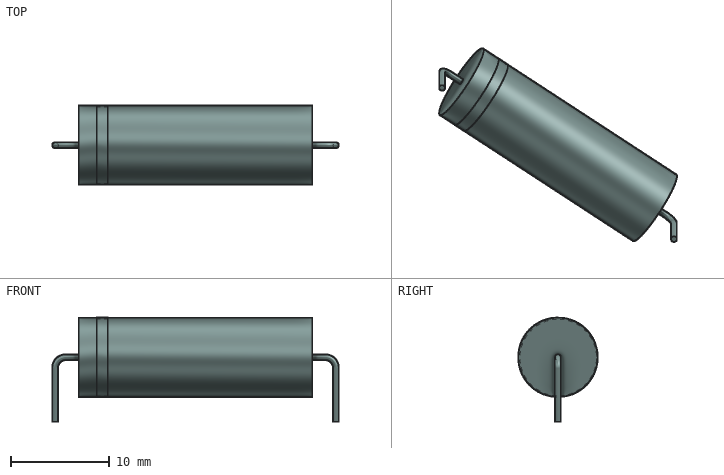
import cadquery as cq

overall_length = 29.2
overall_height = 10.63
body_length = 23.84
band_diameter = 8.12
band_offset = 1.85
band_width = 1.15
band_rise = 0.01
groove_depth = 0.15
wire_diameter = 0.6
bend_radius = 1.05

body_end = body_length / 2
band_start = band_offset - body_end
body_diameter = band_diameter - 2 * band_rise
groove_diameter = body_diameter - 2 * groove_depth
lead_x = (overall_length - wire_diameter) / 2
lead_bottom = band_diameter / 2 - overall_height


def make_band():
    """Polarity ring that sits in the groove and stands slightly proud of the body."""
    return (
        cq.Workplane("YZ", origin=(band_start, 0, 0))
        .circle(band_diameter / 2)
        .circle(groove_diameter / 2)
        .extrude(band_width)
    )


def make_body(band):
    """Cylindrical body with a groove that fits the band."""
    cylinder = cq.Workplane("YZ", origin=(-body_end, 0, 0)).circle(body_diameter / 2).extrude(body_length)
    return cylinder.cut(band)


def make_lead(side):
    """Round wire from one end of the body, bent down; side is -1 or +1 along X."""
    bend_start = lead_x - bend_radius
    path = (
        cq.Workplane("XZ")
        .moveTo(side * body_end, 0)
        .lineTo(side * bend_start, 0)
        .tangentArcPoint((side * lead_x, -bend_radius), relative=False)
        .lineTo(side * lead_x, lead_bottom)
    )
    return cq.Workplane("YZ", origin=(side * body_end, 0, 0)).circle(wire_diameter / 2).sweep(path)


band = make_band()
body = make_body(band)
leads = [make_lead(side) for side in (-1, 1)]

result = cq.Compound.makeCompound([body.val(), band.val(), *[lead.val() for lead in leads]])